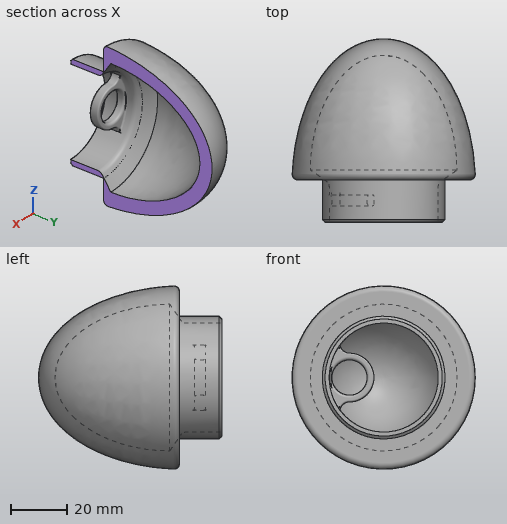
import cadquery as cq
import math

length = 65.0
dome_radius = 32.47
flange_y = 15.0
flange_round = 2.1
dome_start_y = flange_y + flange_round

base_handle_height = 27.3
base_handle_lean = 1.3
tip_handle_length = 17.55

collar_radius = 43.5 / 2
collar_chamfer = (43.5 - 41.5) / 2
bore_radius = 19.3
bore_end_y = 12.6

lip_round = 2.35
lip_angle_degrees = 55
cavity_radius = 26.0
cavity_top_y = 59.15
cavity_base_handle = 20.8
cavity_tip_handle = 14.95

tab_x = -12.1
tab_radius = 8.65
tab_flare_radius = 3.4
tab_edge_round = 0.6
tab_face_y = 5.85
tab_thickness = 3.9
hole_radius = 12.5 / 2
hole_mouth_round = 1.05


def make_body():
    """Solid dome with a rounded base edge and a chamfered collar."""
    corner_drop = flange_round * (1 - math.sqrt(0.5))
    profile = (
        cq.Workplane("XY")
        .lineTo(collar_radius - collar_chamfer, 0)
        .lineTo(collar_radius, collar_chamfer)
        .lineTo(collar_radius, flange_y)
        .lineTo(dome_radius - flange_round, flange_y)
        .threePointArc(
            (dome_radius - corner_drop, flange_y + corner_drop),
            (dome_radius, dome_start_y),
        )
        .bezier(
            [
                (dome_radius, dome_start_y),
                (dome_radius - base_handle_lean, dome_start_y + base_handle_height),
                (tip_handle_length, length),
                (0, length),
            ]
        )
        .close()
    )
    return profile.revolve(360, (0, 0, 0), (0, 1, 0))


def make_cavity():
    """Bore opening into a domed hollow."""
    lip_angle = math.radians(lip_angle_degrees)
    lip_step = lip_round * (1 - math.cos(lip_angle))
    lip_rise = lip_round * math.sin(lip_angle)
    lip_mid_step = lip_round * (1 - math.cos(lip_angle / 2))
    lip_mid_rise = lip_round * math.sin(lip_angle / 2)
    cone_radius = bore_radius + lip_step
    cone_y = bore_end_y + lip_rise
    cone_top_y = cone_y + (cavity_radius - cone_radius) / math.tan(lip_angle)
    profile = (
        cq.Workplane("XY")
        .lineTo(bore_radius, 0)
        .lineTo(bore_radius, bore_end_y)
        .threePointArc(
            (bore_radius + lip_mid_step, bore_end_y + lip_mid_rise),
            (cone_radius, cone_y),
        )
        .lineTo(cavity_radius, cone_top_y)
        .bezier(
            [
                (cavity_radius, cone_top_y),
                (cavity_radius, cone_top_y + cavity_base_handle),
                (cavity_tip_handle, cavity_top_y),
                (0, cavity_top_y),
            ]
        )
        .close()
    )
    return profile.revolve(360, (0, 0, 0), (0, 1, 0))


def make_tab_outline(front_y):
    """Outline of the tab: a round nose flaring out into the bore wall."""
    flare_z = tab_radius + tab_flare_radius
    flare_mid = tab_flare_radius * math.sqrt(0.5)
    flare_end_x = tab_x - tab_flare_radius
    root_x = -collar_radius
    return (
        cq.Workplane("XZ", origin=(0, front_y, 0))
        .moveTo(tab_x, -tab_radius)
        .threePointArc((tab_x + tab_radius, 0), (tab_x, tab_radius))
        .threePointArc((tab_x - flare_mid, flare_z - flare_mid), (flare_end_x, flare_z))
        .lineTo(root_x, flare_z)
        .lineTo(root_x, -flare_z)
        .lineTo(flare_end_x, -flare_z)
        .threePointArc((tab_x - flare_mid, flare_mid - flare_z), (tab_x, -tab_radius))
        .close()
    )


def make_half_tab():
    """Front half of the tab, with a rounded front edge and hole mouth."""
    half_thickness = tab_thickness / 2
    tab = make_tab_outline(tab_face_y).extrude(-half_thickness)
    tab = tab.faces("<Y").edges().fillet(tab_edge_round)
    hole = (
        cq.Workplane("XZ", origin=(tab_x, tab_face_y, 0))
        .circle(hole_radius)
        .extrude(-half_thickness)
    )
    tab = tab.cut(hole)
    front_face = tab.faces("<Y").val()
    mouth_edges = front_face.innerWires()[0].Edges()
    return tab.newObject(mouth_edges).fillet(hole_mouth_round)


def make_half_root():
    """Concave fillet joining the front face of the tab to the bore wall."""
    root = make_tab_outline(tab_face_y - tab_edge_round).extrude(-tab_edge_round)
    bore_plug = (
        cq.Workplane("XZ")
        .circle(bore_radius)
        .extrude(-tab_face_y)
        .faces(">Y")
        .edges()
        .fillet(tab_edge_round)
    )
    return root.cut(bore_plug)


def make_tab():
    """Both halves of the tab, trimmed to end inside the collar wall."""
    half = make_half_tab().union(make_half_root())
    mid_y = tab_face_y + tab_thickness / 2
    tab = half.union(half.mirror("XZ", (0, mid_y, 0)))
    wall_middle = (bore_radius + collar_radius) / 2
    return tab.intersect(cq.Workplane("XZ").circle(wall_middle).extrude(-flange_y))


result = make_body().cut(make_cavity()).union(make_tab())